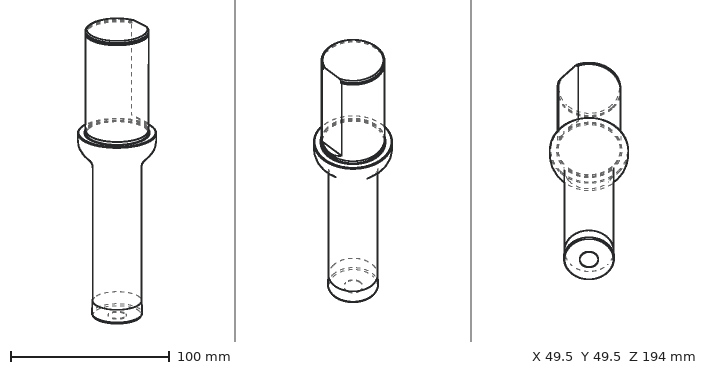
import cadquery as cq

total_length = 194.0

shank_radius = 40.0 / 2
shank_chamfer = 1.0
groove_radius = 19.5
groove_slope = 0.4
end_groove_top = total_length - 1.7
end_groove_bottom = total_length - 2.7
flat_offset = 17.8
flat_bottom_z = 129.2

collar_radius = 49.5 / 2
collar_top_z = 124.2
collar_bottom_z = 119.0
collar_chamfer = 0.5
undercut_top_z = 126.0
relief_radius = 20.5
relief_depth = 0.4
stem_radius = 30.8 / 2
blend_bottom_z = 100.3
blend_mid_radius = 18.6
blend_mid_z = 107.7

tip_top_z = 10.0
tip_top_radius = 15.5
tip_radius = 16.0
flare_bulge = 0.05
tip_round_z = 1.7
tip_face_z = 0.5
tip_face_radius = 15.3
tip_boss_radius = 5.8


def make_holder():
    """Shank, collar and stem turned as one piece, with the flat milled on the shank."""
    blend_points = [(blend_mid_radius, blend_mid_z), (collar_radius, collar_bottom_z)]
    relief_z = collar_top_z - relief_depth
    turned = (
        cq.Workplane("XZ")
        .moveTo(0, tip_top_z)
        .lineTo(stem_radius, tip_top_z)
        .lineTo(stem_radius, blend_bottom_z)
        .spline(blend_points, tangents=[(0, 1), (0, 1)], includeCurrent=True)
        .lineTo(collar_radius, collar_top_z - collar_chamfer)
        .lineTo(collar_radius - collar_chamfer, collar_top_z)
        .lineTo(relief_radius, collar_top_z)
        .lineTo(relief_radius, relief_z)
        .lineTo(groove_radius, relief_z)
        .lineTo(groove_radius, undercut_top_z - groove_slope)
        .lineTo(shank_radius, undercut_top_z)
        .lineTo(shank_radius, end_groove_bottom)
        .lineTo(groove_radius, end_groove_bottom + groove_slope)
        .lineTo(groove_radius, end_groove_top)
        .lineTo(shank_radius, end_groove_top)
        .lineTo(shank_radius, total_length - shank_chamfer)
        .lineTo(shank_radius - shank_chamfer, total_length)
        .lineTo(0, total_length)
        .close()
        .revolve(360, (0, 0), (0, 1))
    )
    return turned.cut(make_flat_cutter())


def make_flat_cutter():
    """Cutter for the flat, running out at 45 degrees above the collar."""
    runout = relief_radius - flat_offset
    return (
        cq.Workplane("YZ")
        .moveTo(flat_offset, flat_bottom_z)
        .lineTo(flat_offset + runout, flat_bottom_z - runout)
        .lineTo(flat_offset + runout, total_length)
        .lineTo(flat_offset, total_length)
        .close()
        .extrude(collar_radius, both=True)
    )


def make_tip():
    """Slightly bulged, flared tip with a chamfered rim and a low boss on its end face."""
    flare_mid = (
        (tip_top_radius + tip_radius) / 2 + flare_bulge,
        (tip_top_z + tip_round_z) / 2,
    )
    return (
        cq.Workplane("XZ")
        .lineTo(tip_boss_radius, 0)
        .lineTo(tip_boss_radius, tip_face_z)
        .lineTo(tip_face_radius, tip_face_z)
        .lineTo(tip_radius, tip_round_z)
        .threePointArc(flare_mid, (tip_top_radius, tip_top_z))
        .lineTo(0, tip_top_z)
        .close()
        .revolve(360, (0, 0), (0, 1))
    )


holder = make_holder()
tip = make_tip()
result = cq.Compound.makeCompound([holder.val(), tip.val()])